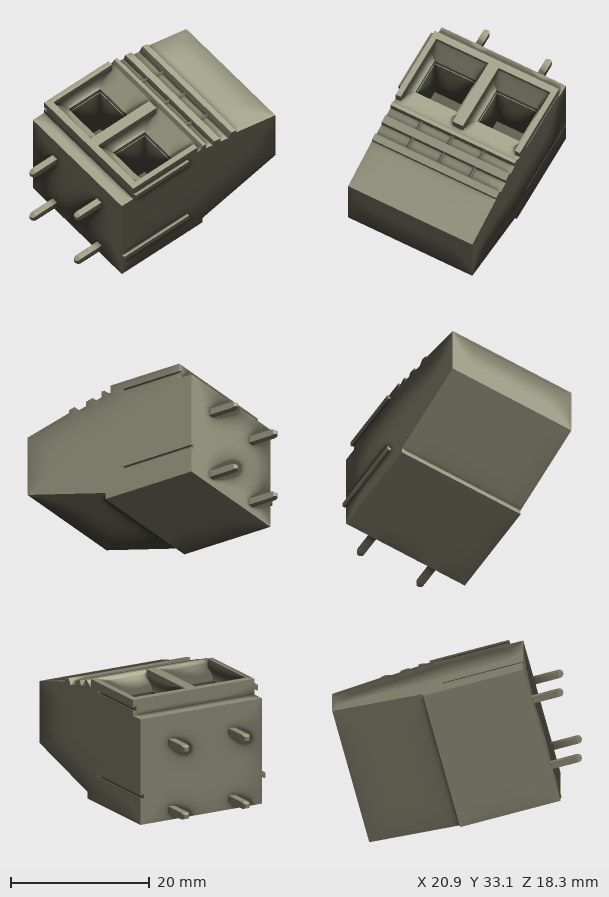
import cadquery as cq
import math

pole_count = 2
pitch = 10.15
height = 18.3
total_length = 33.1

body_depth = 28.53
step_depth = 2.12
step_height = 15.92
wall_back = 14.05
rear_top = 14.15
rear_bottom = 4.75
base_depth = 14.95
base_lip = 1.0
top_slope = math.tan(math.radians(14.4))

rear_crest_start = 21.28
rear_crest_end = 20.35
rear_crest_rise = 0.45
rear_groove_y = 19.75
rear_groove_depth = 0.83
mid_crest_start = 18.35
mid_crest_end = 17.18
mid_crest_rise = 0.7
front_groove_y = 16.85
front_groove_depth = 0.65
front_crest_start = 15.65
front_crest_end = 15.13
front_crest_top = 17.8
funnel_slope_start = 14.7

ridge_width = 0.55
ridge_height = ridge_width * math.cos(math.radians(30))

funnel_width = 8.5
funnel_front = 3.18
funnel_foot = 15.82
funnel_side_radius = 1.4
front_slope = math.tan(math.radians(42))
rear_slope = math.tan(math.radians(23.5))
window_width = 6.82
window_front = 5.3
window_back = 11.15

cage_top = 15.1
cage_bottom = 5.83
cage_wall = 0.83
cage_floor = 0.83
cage_inset = 0.1

pin_side = 1.0
pin_length = total_length - body_depth
pin_row_height = 1.62
pin_taper_length = 0.65
pin_taper = 0.215
pin_tip_radius = 0.45

dovetail_heights = [4.2, 16.88]
dovetail_depth = 0.6
dovetail_flare = 0.4
dovetail_neck = 0.35
dovetail_head = 0.83
dovetail_end = 12.05

width = pole_count * pitch
pole_centres = [(i + 0.5) * pitch for i in range(pole_count)]
window_depth = window_back - window_front
window_centre = (window_front + window_back) / 2


def slope_z(start_y, start_z, y):
    """Height at y of a line parallel to the sloping top that passes through the start point."""
    return start_z + (start_y - y) * top_slope


def funnel_slope_z(y):
    """Height at y of the slope that leads back up from the window."""
    return funnel_foot + (y - window_back) * rear_slope


rear_crest_foot_z = slope_z(body_depth, rear_top, rear_crest_start)
rear_crest_z = rear_crest_foot_z + rear_crest_rise
rear_crest_end_z = slope_z(rear_crest_start, rear_crest_z, rear_crest_end)
rear_groove_z = rear_crest_end_z - rear_groove_depth
rear_groove_end_z = slope_z(rear_groove_y, rear_groove_z, mid_crest_start)
mid_crest_z = rear_groove_end_z + mid_crest_rise
mid_crest_end_z = slope_z(mid_crest_start, mid_crest_z, mid_crest_end)
front_groove_z = mid_crest_end_z - front_groove_depth
front_groove_end_z = slope_z(front_groove_y, front_groove_z, front_crest_start)


def side_prism(points, x_start, length):
    """Prism along +X from a closed (y, z) outline."""
    return cq.Workplane("YZ").workplane(offset=x_start).polyline(points).close().extrude(length)


def front_outline(points, y_start):
    """Closed (x, z) outline on a plane at y_start; extruding by a negative length goes toward +Y."""
    return cq.Workplane("XZ").workplane(offset=-y_start).polyline(points).close()


def box(x_centre, y_centre, x_size, y_size, z_bottom, z_top):
    return (
        cq.Workplane("XY")
        .workplane(offset=z_bottom)
        .center(x_centre, y_centre)
        .rect(x_size, y_size)
        .extrude(z_top - z_bottom)
    )


def housing_block():
    return side_prism(
        [
            (0, 0),
            (0, step_height),
            (step_depth, step_height),
            (step_depth, height),
            (wall_back, height),
            (wall_back, funnel_slope_z(wall_back)),
            (funnel_slope_start, funnel_slope_z(funnel_slope_start)),
            (front_crest_end, front_crest_top),
            (front_crest_start, front_crest_top),
            (front_crest_start, front_groove_end_z),
            (front_groove_y, front_groove_z),
            (mid_crest_end, mid_crest_end_z),
            (mid_crest_start, mid_crest_z),
            (mid_crest_start, rear_groove_end_z),
            (rear_groove_y, rear_groove_z),
            (rear_crest_end, rear_crest_end_z),
            (rear_crest_start, rear_crest_z),
            (rear_crest_start, rear_crest_foot_z),
            (body_depth, rear_top),
            (body_depth, rear_bottom),
            (base_depth, base_lip),
            (base_depth, 0),
        ],
        0,
        width,
    )


def grip_ridge(x, wall_y, wall_floor_z, groove_y, crest_end_y):
    """Triangular ridge on a groove floor, from the wall in front back into the groove's rear flank."""
    half = ridge_width / 2
    ridge_end_y = (groove_y + crest_end_y) / 2
    run = ridge_end_y - wall_y
    section = front_outline(
        [
            (x - half, wall_floor_z),
            (x, wall_floor_z + ridge_height),
            (x + half, wall_floor_z),
            (x, wall_floor_z - ridge_height),
        ],
        wall_y,
    )
    path = cq.Workplane("YZ").workplane(offset=x).polyline(
        [(wall_y, wall_floor_z), (ridge_end_y, wall_floor_z - run * top_slope)]
    )
    return section.sweep(path)


def wire_funnel(x):
    """Funnel opening at the top, with rounded sides and sloping ends, down to the window rim."""
    half = funnel_width / 2
    window_half = window_width / 2
    side_inset = half - window_half
    rim_angle = math.asin(1 - side_inset / funnel_side_radius)
    arc_top = funnel_foot + funnel_side_radius * math.cos(rim_angle)
    mid_angle = (rim_angle + math.pi / 2) / 2
    arc_mid_x = half - funnel_side_radius * (1 - math.sin(mid_angle))
    arc_mid_z = arc_top - funnel_side_radius * math.cos(mid_angle)
    across = (
        cq.Workplane("XZ")
        .moveTo(x - half, height)
        .lineTo(x - half, arc_top)
        .threePointArc((x - arc_mid_x, arc_mid_z), (x - window_half, funnel_foot))
        .lineTo(x + window_half, funnel_foot)
        .threePointArc((x + arc_mid_x, arc_mid_z), (x + half, arc_top))
        .lineTo(x + half, height)
        .close()
        .extrude(-wall_back)
    )
    along = side_prism(
        [
            (funnel_front, height),
            (funnel_front, funnel_foot + (window_front - funnel_front) * front_slope),
            (window_front, funnel_foot),
            (window_back, funnel_foot),
            (wall_back, funnel_slope_z(wall_back)),
            (wall_back, height),
        ],
        x - half,
        funnel_width,
    )
    return across.intersect(along)


def dovetail(x, z, y_start):
    """Dovetail bar whose neck lies at x and whose head points toward +X."""
    neck = dovetail_neck / 2
    head = dovetail_head / 2
    return front_outline(
        [
            (x, z - neck),
            (x + dovetail_flare, z - head),
            (x + dovetail_depth, z - head),
            (x + dovetail_depth, z + head),
            (x + dovetail_flare, z + head),
            (x, z + neck),
        ],
        y_start,
    ).extrude(-(dovetail_end - y_start))


def cage_envelope(x):
    return box(
        x, window_centre, window_width + 2 * cage_wall, window_depth + 2 * cage_wall,
        cage_bottom, cage_top,
    )


def make_housing():
    housing = housing_block()
    for i in range(1, 2 * pole_count):
        ridge_x = i * pitch / 2
        housing = housing.union(
            grip_ridge(ridge_x, mid_crest_start, rear_groove_end_z, rear_groove_y, rear_crest_end)
        )
        housing = housing.union(
            grip_ridge(ridge_x, front_crest_start, front_groove_end_z, front_groove_y, mid_crest_end)
        )
    for x in pole_centres:
        window = box(x, window_centre, window_width, window_depth, cage_top, funnel_foot)
        housing = housing.cut(wire_funnel(x)).cut(window).cut(cage_envelope(x))
    for z in dovetail_heights:
        front_y = step_depth if z > step_height else 0
        housing = housing.cut(dovetail(0, z, front_y)).union(dovetail(width, z, front_y))
    return housing


def make_clamp_cage(x):
    """Open-topped metal box that fills its cavity under the window."""
    opening = box(
        x, window_centre, window_width - 2 * cage_inset, window_depth - 2 * cage_inset,
        cage_bottom + cage_floor, cage_top,
    )
    return cage_envelope(x).cut(opening)


def make_solder_pin(x, z):
    """Square pin on the pin face, with a tip that is rounded in X and tapered in Z."""
    half = pin_side / 2
    tip_half = half - pin_taper
    rounded = (
        cq.Workplane("XY")
        .workplane(offset=z - half)
        .center(x, -pin_length / 2)
        .rect(pin_side, pin_length)
        .extrude(pin_side)
        .edges("|Z and <Y")
        .fillet(pin_tip_radius)
    )
    tapered = side_prism(
        [
            (0, z - half),
            (pin_taper_length - pin_length, z - half),
            (-pin_length, z - tip_half),
            (-pin_length, z + tip_half),
            (pin_taper_length - pin_length, z + half),
            (0, z + half),
        ],
        x - half,
        pin_side,
    )
    return rounded.intersect(tapered)


housing = make_housing()
clamp_cages = [make_clamp_cage(x) for x in pole_centres]
solder_pins = [
    make_solder_pin(x, z)
    for x in pole_centres
    for z in (pin_row_height, pin_row_height + pitch)
]

result = cq.Compound.makeCompound(
    [housing.val()]
    + [cage.val() for cage in clamp_cages]
    + [pin.val() for pin in solder_pins]
)